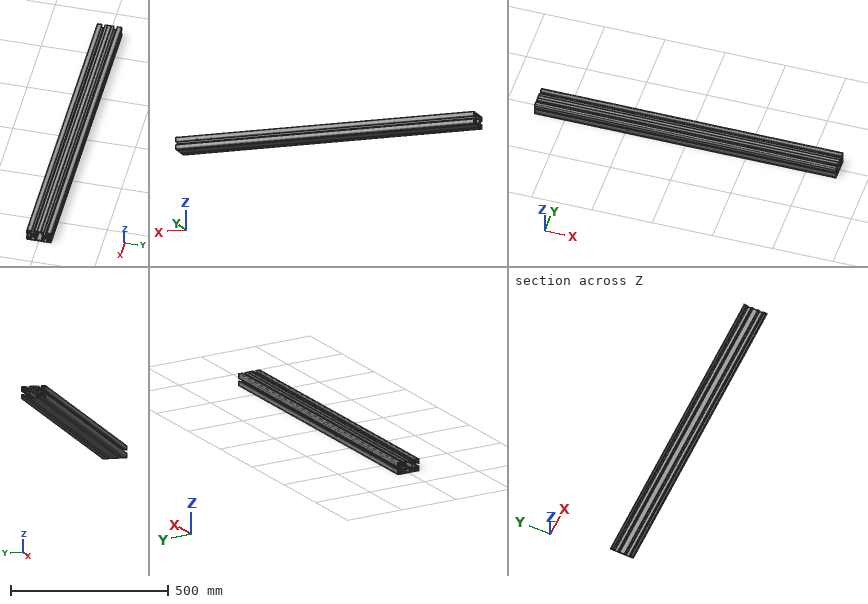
import cadquery as cq

LENGTH = 1000.0
CELL = 40.0
CELL_COUNT = 2
HALF_CELL = CELL / 2
WIDTH = CELL_COUNT * CELL
CORNER_RADIUS = 3.0

MOUTH_HALF = 5.0
MOUTH_RADIUS = 1.2
LIP_THICKNESS = 5.0
SKIN = 1.5
POCKET_HALF = 9.0
FLOOR_HEIGHT = 7.2
FLOOR_HALF = 6.2
V_HALF_WIDTH = 1.0
V_DEPTH = 0.6

CORE_BORE = 10.0
CORNER_BORE = 6.5
CORNER_BORE_INSET = 5.5

CHAMBER_HALF_WIDTH = 13.0
CHAMBER_HALF_HEIGHT = 16.0
CHAMBER_TOP_HALF = 8.0
CHAMBER_SHOULDER = 9.5
WAIST_HALF_HEIGHT = 6.0

GROOVE_Y = 6.0
GROOVE_HALF_WIDTH = 0.8
GROOVE_DEPTH = 1.0


def section_plane():
    """YZ sketch plane at the -X end of the bar."""
    return cq.Workplane("YZ", origin=(-LENGTH / 2, 0, 0))


def prism(points):
    return section_plane().polyline(points).close().extrude(LENGTH)


def bore(y, z, diameter):
    return section_plane().center(y, z).circle(diameter / 2).extrude(LENGTH)


def mirrored_in_y(points):
    """Continue a +Y outline with its mirror image, in running order."""
    return points + [(-y, z) for y, z in reversed(points)]


def slot(top):
    """T-slot that reaches up to z = top in a cell centred on the origin."""
    lip_underside = HALF_CELL - LIP_THICKNESS
    shoulder = FLOOR_HEIGHT + POCKET_HALF - FLOOR_HALF
    right_side = [
        (V_HALF_WIDTH, FLOOR_HEIGHT),
        (FLOOR_HALF, FLOOR_HEIGHT),
        (POCKET_HALF, shoulder),
        (POCKET_HALF, lip_underside),
        (MOUTH_HALF, lip_underside),
        (MOUTH_HALF, top),
    ]
    v_bottom = (0, FLOOR_HEIGHT - V_DEPTH)
    return prism([v_bottom] + mirrored_in_y(right_side))


def open_slot():
    """T-slot through the outer face, with rounded mouth edges."""
    rounding_start = HALF_CELL - MOUTH_RADIUS
    outer_half = MOUTH_HALF + MOUTH_RADIUS
    mouth = (
        section_plane()
        .moveTo(-outer_half, HALF_CELL)
        .radiusArc((-MOUTH_HALF, rounding_start), MOUTH_RADIUS)
        .lineTo(MOUTH_HALF, rounding_start)
        .radiusArc((outer_half, HALF_CELL), MOUTH_RADIUS)
        .close()
        .extrude(LENGTH)
    )
    return slot(HALF_CELL).union(mouth)


def turned(shape, angle):
    return shape.rotate((0, 0, 0), (1, 0, 0), angle)


def cell_cuts(side):
    """Slots and bores of the cell on the given side (-1 or 1) of the XZ plane."""
    cell_y = side * HALF_CELL
    bore_y = side * (WIDTH / 2 - CORNER_BORE_INSET)
    bore_z = HALF_CELL - CORNER_BORE_INSET
    slots = [
        open_slot(),
        turned(open_slot(), -90 * side),
        turned(slot(HALF_CELL - SKIN), 180),
    ]
    bores = [
        bore(cell_y, 0, CORE_BORE),
        bore(bore_y, bore_z, CORNER_BORE),
        bore(bore_y, -bore_z, CORNER_BORE),
    ]
    return [cut.translate((0, cell_y, 0)) for cut in slots] + bores


def chamber():
    upper_right = [
        (CHAMBER_TOP_HALF, CHAMBER_HALF_HEIGHT),
        (CHAMBER_TOP_HALF, CHAMBER_SHOULDER),
        (CHAMBER_HALF_WIDTH, WAIST_HALF_HEIGHT),
    ]
    lower_right = [(y, -z) for y, z in reversed(upper_right)]
    return prism(mirrored_in_y(upper_right + lower_right))


def marking_groove(y):
    return prism([
        (y - GROOVE_HALF_WIDTH, HALF_CELL),
        (y, HALF_CELL - GROOVE_DEPTH),
        (y + GROOVE_HALF_WIDTH, HALF_CELL),
    ])


bar = section_plane().rect(WIDTH, CELL).extrude(LENGTH).edges("|X").fillet(CORNER_RADIUS)
bar = bar.cut(chamber())
for side in (-1, 1):
    for cut in cell_cuts(side):
        bar = bar.cut(cut)
    bar = bar.cut(marking_groove(side * GROOVE_Y))

result = bar